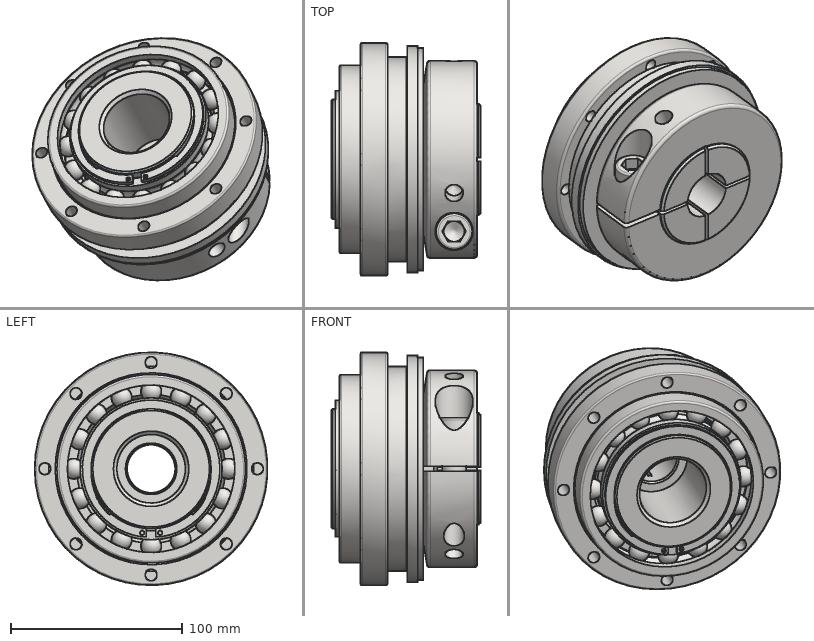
import cadquery as cq
import math


bearing_start = 4.9
flange_start = 17.2
flange_end = 33.2
neck_end = 43.9
switch_disc_start = 44.4
switch_disc_step = 50.5
switch_disc_end = 53.9
clamp_end = 85.3
hub_length = 87.5

hub_diameter = 70.0
hub_bore = 40.0
hub_bore_depth = 52.0
hub_bore_chamfer = 2.0
hub_edge_chamfer = 1.0
shaft_bore = 28.0
shaft_bore_chamfer = 1.0
collet_diameter = 65.2
collet_chamfer = 1.4
collet_slot_width = 2.0
collet_taper_start = 60.0
collet_slot_start = 62.0
collet_neck_diameter = 61.0

bearing_diameter = 110.0
bearing_width = 20.0
bearing_fillet = 1.2
inner_race_diameter = 82.8
outer_race_bore = 97.6
inner_race_chamfer = 1.2
race_gap_depth = 16.2
race_gap_diameter = 86.8
race_gap_taper_length = 4.0
ball_diameter = 12.0
ball_pitch_diameter = 90.2
ball_groove_radius = 5.8
ball_count = 16

snap_ring_start = 2.6
snap_ring_diameter = 80.2
snap_ring_flat = 39.7
snap_ring_gap = 5.4
snap_ring_hole = 2.5
snap_ring_hole_spacing = 10.5
snap_ring_hole_height = -37.4
relief_offset = 1.6
relief_end_height = -26.6

flange_diameter = 136.0
flange_front_fillet = 1.0
flange_back_fillet = 1.5
flange_bore_chamfer = 1.0
flange_hole = 6.8
flange_hole_circle = 124.0
flange_hole_count = 8
neck_diameter = 119.6
groove_floor_diameter = 110.0
switch_disc_diameter = 132.5
switch_disc_step_diameter = 130.0

clamp_diameter = 115.2
clamp_face_diameter = 87.6
clamp_cone_length = 2.3
clamp_fillet = 2.0
clamp_slot_width = 3.0

screw_x = 71.8
screw_y = -42.0
screw_diameter = 14.0
screw_length = 40.0
screw_clearance = 14.5
screw_core_hole = 12.0
head_diameter = 21.0
head_height = 14.0
head_top = 29.9
head_fillet = 1.2
counterbore = 22.0
socket_width = 12.0
socket_depth = 7.0
drill_tip_angle = 118.0

spanner_hole = 10.5
spanner_hole_angles = (20.0, 150.0, 270.0)
spanner_hole_floor = 47.4

AXIS_START = (0, 0, 0)
AXIS_END = (1, 0, 0)


def tip_height(diameter):
    """Height of the conical end left by a drill of this diameter."""
    return diameter / 2 / math.tan(math.radians(drill_tip_angle / 2))


def turned(points):
    """Revolve a closed (x, radius) outline about the X axis."""
    return cq.Workplane("XY").polyline(points).close().revolve(360, AXIS_START, AXIS_END)


def disc(start, end, diameter):
    """Plain cylinder along X."""
    return cq.Workplane("YZ", origin=(start, 0, 0)).circle(diameter / 2).extrude(end - start)


def upright(bottom, top, diameter):
    """Cylinder along Z on the clamp screw axis."""
    base = cq.Workplane("XY", origin=(screw_x, screw_y, bottom))
    return base.circle(diameter / 2).extrude(top - bottom)


def make_hub():
    front = disc(0, switch_disc_end, hub_diameter).faces("<X").chamfer(hub_edge_chamfer)
    collet = turned([
        (switch_disc_end, 0),
        (switch_disc_end, collet_neck_diameter / 2),
        (collet_taper_start, collet_neck_diameter / 2),
        (collet_slot_start, collet_diameter / 2),
        (hub_length, collet_diameter / 2),
        (hub_length, 0),
    ])
    return front.union(collet.faces(">X").chamfer(collet_chamfer))


def make_bearing():
    end = bearing_start + bearing_width
    middle = bearing_start + bearing_width / 2
    floor = bearing_start + race_gap_depth
    bearing = disc(bearing_start, end, bearing_diameter).faces("<X").edges().fillet(bearing_fillet)
    race_space = turned([
        (bearing_start, inner_race_diameter / 2),
        (bearing_start, outer_race_bore / 2),
        (floor, outer_race_bore / 2),
        (floor, race_gap_diameter / 2),
        (floor + race_gap_taper_length, inner_race_diameter / 2),
    ])
    ball_groove = (
        cq.Workplane("XY")
        .center(middle, ball_pitch_diameter / 2)
        .circle(ball_groove_radius)
        .revolve(360, (0, -ball_pitch_diameter / 2, 0), (1, -ball_pitch_diameter / 2, 0))
    )
    bearing = bearing.cut(race_space).cut(ball_groove)
    for index in range(ball_count):
        angle = 2 * math.pi * index / ball_count
        y = ball_pitch_diameter / 2 * math.cos(angle)
        z = ball_pitch_diameter / 2 * math.sin(angle)
        ball = cq.Workplane("YZ").sphere(ball_diameter / 2).translate((middle, y, z))
        bearing = bearing.union(ball)
    bore_chamfer = turned([
        (bearing_start, hub_diameter / 2),
        (bearing_start, hub_diameter / 2 + inner_race_chamfer),
        (bearing_start + inner_race_chamfer, hub_diameter / 2),
    ])
    return bearing.cut(bore_chamfer)


def make_snap_ring():
    thickness = bearing_start - snap_ring_start
    radius = snap_ring_diameter / 2
    ring = disc(snap_ring_start, bearing_start, snap_ring_diameter)
    plane = cq.Workplane("YZ", origin=(snap_ring_start, 0, 0))
    keep = plane.center(0, radius - snap_ring_flat).rect(2 * radius, 2 * radius).extrude(thickness)
    gap = plane.center(0, -radius).rect(snap_ring_gap, 2 * radius).extrude(thickness)
    holes = (
        plane.pushPoints([(side * snap_ring_hole_spacing / 2, snap_ring_hole_height) for side in (-1, 1)])
        .circle(snap_ring_hole / 2)
        .extrude(thickness)
    )
    relief = plane.center(0, -relief_offset).circle(hub_diameter / 2).extrude(thickness)
    relief_zone = (
        plane.center(0, relief_end_height + radius).rect(2 * radius, 2 * radius).extrude(thickness)
    )
    return ring.intersect(keep).cut(gap).cut(holes).cut(relief.intersect(relief_zone))


def make_flange():
    flange = disc(flange_start, flange_end, flange_diameter)
    flange = flange.faces("<X").edges().fillet(flange_front_fillet)
    flange = flange.faces(">X").edges().fillet(flange_back_fillet)
    bore_chamfer = turned([
        (flange_start, 0),
        (flange_start, bearing_diameter / 2 + flange_bore_chamfer),
        (flange_start + flange_bore_chamfer, bearing_diameter / 2),
        (flange_start + flange_bore_chamfer, 0),
    ])
    holes = (
        cq.Workplane("YZ", origin=(flange_start, 0, 0))
        .polarArray(flange_hole_circle / 2, 0, 360, flange_hole_count)
        .circle(flange_hole / 2)
        .extrude(flange_end - flange_start)
    )
    neck = disc(flange_end, neck_end, neck_diameter)
    groove_floor = disc(neck_end, switch_disc_start, groove_floor_diameter)
    core = disc(bearing_start + bearing_width, flange_end, bearing_diameter)
    seat = disc(flange_start, bearing_start + bearing_width, bearing_diameter)
    flange = flange.cut(bore_chamfer).cut(holes).cut(seat)
    return flange.union(core).union(neck).union(groove_floor)


def make_switch_disc():
    rim = disc(switch_disc_start, switch_disc_step, switch_disc_diameter)
    return rim.union(disc(switch_disc_step, switch_disc_end, switch_disc_step_diameter))


def make_clamp_ring():
    ring = turned([
        (switch_disc_end, 0),
        (switch_disc_end, clamp_face_diameter / 2),
        (switch_disc_end + clamp_cone_length, clamp_diameter / 2),
        (clamp_end, clamp_diameter / 2),
        (clamp_end, 0),
    ])
    return ring.edges(cq.selectors.RadiusNthSelector(-1)).fillet(clamp_fillet)


def make_clamp_slot():
    """Radial slot on the -Y side, cut to the axis; the collet added later closes its inner part."""
    length = clamp_end - switch_disc_end
    depth = clamp_diameter / 2
    slot = cq.Workplane("XY").box(length, depth, clamp_slot_width, centered=(False, False, True))
    return slot.translate((switch_disc_end, -depth, 0))


def make_collet_slots():
    """Two crossed slots through the collet, open at the clamp end."""
    length = hub_length - collet_slot_start
    bar = cq.Workplane("XY").box(
        length, collet_diameter, collet_slot_width, centered=(False, True, True)
    )
    bar = bar.translate((collet_slot_start, 0, 0))
    cross = bar.union(bar.rotate(AXIS_START, AXIS_END, 90))
    return cross.intersect(disc(collet_slot_start, hub_length, collet_diameter))


def make_bores():
    hub_radius = hub_bore / 2
    shaft_radius = shaft_bore / 2
    return turned([
        (0, 0),
        (0, hub_radius + hub_bore_chamfer),
        (hub_bore_chamfer, hub_radius),
        (hub_bore_depth, hub_radius),
        (hub_bore_depth, shaft_radius + shaft_bore_chamfer),
        (hub_bore_depth + shaft_bore_chamfer, shaft_radius),
        (hub_length, shaft_radius),
        (hub_length, 0),
    ])


def make_screw():
    seat = head_top - head_height
    head = upright(seat, head_top, head_diameter).faces(">Z").edges().fillet(head_fillet)
    across_corners = socket_width / math.cos(math.pi / 6)
    socket = (
        cq.Workplane("XY", origin=(screw_x, screw_y, head_top))
        .polygon(6, across_corners)
        .extrude(-socket_depth)
    )
    cone = cq.Workplane(cq.Solid.makeCone(
        socket_width / 2, 0, tip_height(socket_width),
        pnt=cq.Vector(screw_x, screw_y, head_top - socket_depth), dir=cq.Vector(0, 0, -1),
    ))
    shank = upright(seat - screw_length, seat, screw_diameter)
    return head.union(shank).cut(socket).cut(cone)


def make_screw_holes():
    seat = head_top - head_height
    outside = clamp_diameter / 2
    recess = upright(seat, outside, counterbore)
    clearance = upright(0, seat, screw_clearance)
    thread_core = upright(-outside, seat - screw_length, screw_core_hole)
    return recess.union(clearance).union(thread_core)


def make_spanner_hole(angle):
    radius = spanner_hole / 2
    tip = spanner_hole_floor - tip_height(spanner_hole)
    hole = (
        cq.Workplane("XZ")
        .polyline([(0, tip), (radius, spanner_hole_floor), (radius, clamp_diameter), (0, clamp_diameter)])
        .close()
        .revolve(360, (0, 0, 0), (0, 1, 0))
    )
    return hole.rotate(AXIS_START, AXIS_END, angle).translate((screw_x, 0, 0))


result = make_flange()
result = result.union(make_switch_disc())
result = result.union(make_clamp_ring())
result = result.cut(make_clamp_slot())
result = result.cut(make_screw_holes())
for hole_angle in spanner_hole_angles:
    result = result.cut(make_spanner_hole(hole_angle))
result = result.union(make_screw())
result = result.union(make_bearing())
result = result.union(make_snap_ring())
result = result.union(make_hub())
result = result.cut(make_collet_slots())
result = result.cut(make_bores())